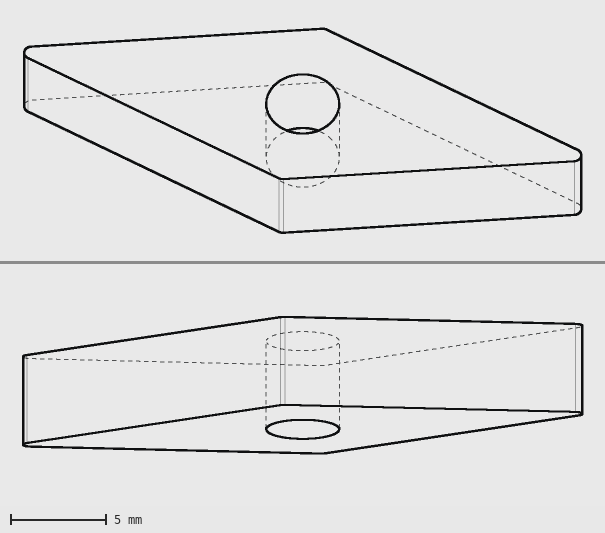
import cadquery as cq
import math

inscribed_circle = 9.525
thickness = 4.76
acute_angle = math.radians(35)
corner_radius = 0.4
hole_diameter = 3.81

side_length = inscribed_circle / math.sin(acute_angle)
slant_run = side_length * math.cos(acute_angle)
half_length = (side_length + slant_run) / 2
half_width = inscribed_circle / 2


def rhombic_body():
    """Rhombic plate centred on the Z axis, with all four upright corners rounded."""
    corners = [
        (-half_length, -half_width),
        (-half_length + side_length, -half_width),
        (half_length, half_width),
        (half_length - side_length, half_width),
    ]
    plate = cq.Workplane("XY").polyline(corners).close().extrude(thickness)
    return plate.edges("|Z").fillet(corner_radius)


def clamping_hole(body):
    """Cut the plain through hole at the centre of the plate."""
    return body.faces(">Z").workplane(origin=(0, 0, thickness)).hole(hole_diameter)


result = clamping_hole(rhombic_body())